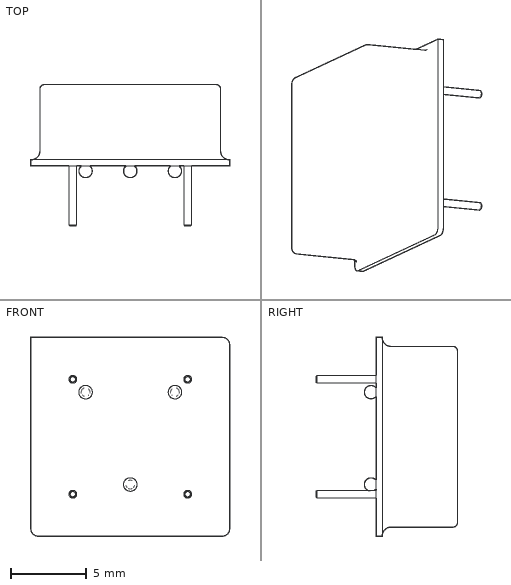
import cadquery as cq

flange_side = 13.2
flange_thickness = 0.41
total_depth = 9.4
flange_corner_radius = 0.5

pin_length = 4.0
pin_diameter = 0.51
pin_chamfer = 0.08
pin_spacing = 7.62

can_side = 12.0
can_height = total_depth - flange_thickness - pin_length
can_corner_radius = 0.48
can_back_radius = 0.32
can_foot_radius = 0.57

bead_diameter = 0.9
bead_center_gap = 0.34
bead_spacing = 5.93
upper_bead_z = 2.96
lower_bead_z = -3.17


def square_plate(side, thickness, y_start):
    """Square plate centred on the Y axis, growing toward +Y from y_start."""
    return cq.Workplane("XY").box(side, thickness, side).translate((0, y_start + thickness / 2, 0))


def make_housing():
    """Can on a flange; the flange has one square corner that marks pin 1."""
    can = square_plate(can_side, can_height, flange_thickness)
    can = can.edges("|Y").fillet(can_corner_radius)
    can = can.faces(">Y").edges().fillet(can_back_radius)

    flange = square_plate(flange_side, flange_thickness, 0)
    flange = flange.edges("|Y and (>X or <Z)").fillet(flange_corner_radius)

    housing = flange.union(can)
    edge_margin = can_side / 2 + 0.01
    foot_edges = housing.edges(
        cq.selectors.BoxSelector(
            (-edge_margin, flange_thickness - 0.01, -edge_margin),
            (edge_margin, flange_thickness + 0.01, edge_margin),
        )
    )
    return foot_edges.fillet(can_foot_radius)


def make_pin(x, z):
    """Round pin standing on the mounting face, chamfered at its free end."""
    pin = cq.Workplane("XZ").circle(pin_diameter / 2).extrude(pin_length)
    return pin.faces("<Y").chamfer(pin_chamfer).translate((x, 0, z))


def make_bead(x, z):
    """Ball cut flat where it sits on the mounting face."""
    ball = cq.Workplane("XY").sphere(bead_diameter / 2).translate((0, -bead_center_gap, 0))
    cap = square_plate(bead_diameter, bead_diameter, 0)
    return ball.cut(cap).translate((x, 0, z))


housing = make_housing()

pin_offsets = (-pin_spacing / 2, pin_spacing / 2)
pins = [make_pin(x, z) for x in pin_offsets for z in pin_offsets]

bead_places = [
    (-bead_spacing / 2, upper_bead_z),
    (bead_spacing / 2, upper_bead_z),
    (0, lower_bead_z),
]
beads = [make_bead(x, z) for x, z in bead_places]

result = cq.Compound.makeCompound(
    [housing.val()] + [pin.val() for pin in pins] + [bead.val() for bead in beads]
)